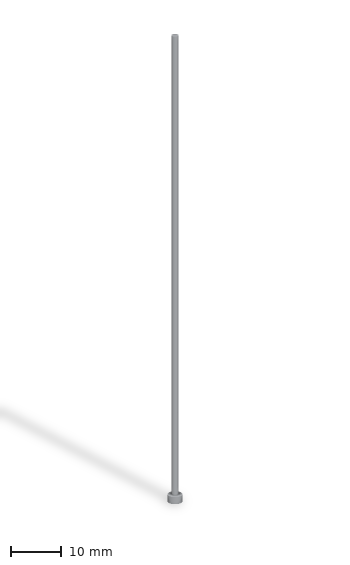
import cadquery as cq

overall_length = 100.0
head_diameter = 3.0
head_height = 1.5
shaft_diameter = 1.4


def make_head():
    """Round head standing on the XY plane."""
    return cq.Workplane("XY").circle(head_diameter / 2).extrude(head_height)


def make_shaft():
    """Round shaft from the top of the head to the tip."""
    shaft_length = overall_length - head_height
    base = cq.Workplane("XY").workplane(offset=head_height)
    return base.circle(shaft_diameter / 2).extrude(shaft_length)


result = make_head().union(make_shaft())